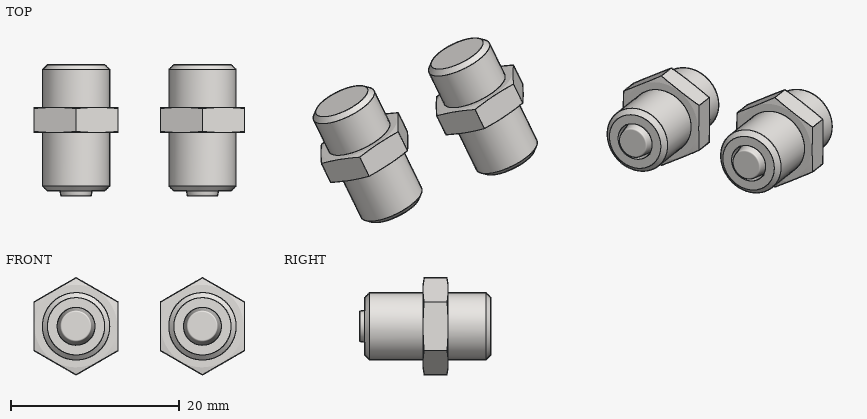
import cadquery as cq
import math

unit_spacing = 15.0
unit_count = 2

housing_diameter = 8.0
housing_length = 15.0
end_chamfer = 0.6

nut_across_flats = 10.0
nut_thickness = 3.0
nut_front = 6.92
nut_face_diameter = 9.8
nut_corner_drop = 0.15

pin_diameter = 4.5
pin_tip_diameter = 3.62
pin_projection = 0.6
pin_taper_depth = 2.25
pin_depth = 5.0
pin_tip_fillet = 0.18

housing_radius = housing_diameter / 2
end_face_radius = housing_radius - end_chamfer
pin_radius = pin_diameter / 2
nut_corner_radius = nut_across_flats / 2 / math.cos(math.radians(30))
nut_face_radius = nut_face_diameter / 2


def revolve_about_y(profile):
    """Turn a closed list of (radius, y) points into a solid of revolution about Y."""
    return cq.Workplane("XY").polyline(profile).close().revolve(360, (0, 0, 0), (0, 1, 0))


def make_housing():
    """Chamfered cylinder with a straight blind hole for the pin."""
    return revolve_about_y([
        (0, pin_depth),
        (pin_radius, pin_depth),
        (pin_radius, 0),
        (end_face_radius, 0),
        (housing_radius, end_chamfer),
        (housing_radius, housing_length - end_chamfer),
        (end_face_radius, housing_length),
        (0, housing_length),
    ])


def make_nut():
    """Hexagon nut, corners up and down, with its corners chamfered on both faces."""
    nut_back = nut_front + nut_thickness
    hexagon = (
        cq.Workplane("XZ", origin=(0, nut_front, 0))
        .polygon(6, 2 * nut_corner_radius)
        .extrude(-nut_thickness)
        .rotate((0, 0, 0), (0, 1, 0), 30)
    )
    turned_ring = revolve_about_y([
        (housing_radius, nut_front),
        (nut_face_radius, nut_front),
        (nut_corner_radius, nut_front + nut_corner_drop),
        (nut_corner_radius, nut_back - nut_corner_drop),
        (nut_face_radius, nut_back),
        (housing_radius, nut_back),
    ])
    return hexagon.intersect(turned_ring)


def make_pin():
    """Round pin that tapers toward a rounded front end, leaving a gap to the hole around the taper."""
    pin = revolve_about_y([
        (0, -pin_projection),
        (pin_tip_diameter / 2, -pin_projection),
        (pin_radius, pin_taper_depth),
        (pin_radius, pin_depth),
        (0, pin_depth),
    ])
    return pin.faces("<Y").edges().fillet(pin_tip_fillet)


bodies = []
for index in range(unit_count):
    unit_x = (index - (unit_count - 1) / 2) * unit_spacing
    for body in (make_housing(), make_nut(), make_pin()):
        bodies.append(body.translate((unit_x, 0, 0)).val())

result = cq.Compound.makeCompound(bodies)